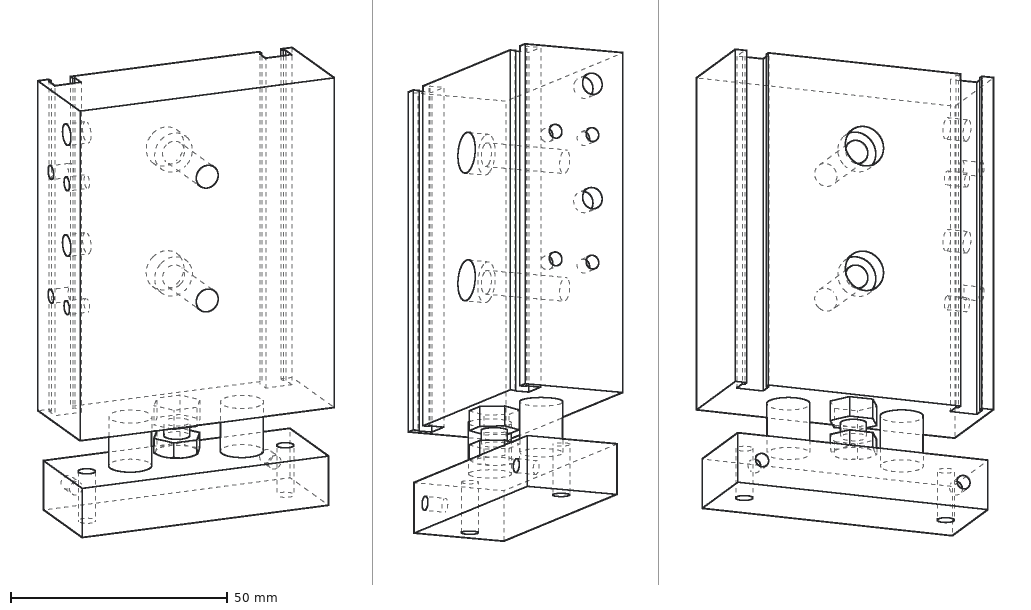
import cadquery as cq
import math

housing_depth = 25.0
housing_width = 64.0
total_height = 104.0

plate_depth = 22.9
plate_width = 62.0
plate_height = 12.0
gap_height = 12.0
plate_center_x = housing_depth / 2
housing_bottom = plate_height + gap_height
housing_height = total_height - housing_bottom

slot_edge_distance = 5.5
slot_mouth_width = 5.3
slot_cavity_width = 6.5
slot_lip = 1.5
slot_depth = 5.0
slot_y = housing_width / 2 - slot_edge_distance

upper_mount_z = total_height - 20.0
lower_mount_z = total_height - 50.0
mount_diameter = 5.5
counterbore_diameter = 9.5
counterbore_depth = 5.0

port_diameter = 5.0
port_x = 17.2
port_heights = (total_height - 8.0, total_height - 34.9)
tapped_diameter = 3.2
tapped_x_positions = (7.8, port_x)
blind_depth = 5.0

rod_diameter = 10.0
rod_y = 14.0
plate_hole_y = 25.0
plate_hole_diameter = 4.0

bolt_x = 7.1
hex_across_flats = 10.0
hex_across_corners = hex_across_flats / math.cos(math.pi / 6)
head_height = 4.7
nut_height = 4.0
shank_diameter = 6.0
nut_chamfer_angle = math.radians(30)


def slot_cutter(center_y):
    """T-slot with a narrow mouth at X = 0 and a wider cavity behind the lip."""
    mouth = cq.Workplane("XY").box(
        slot_depth, slot_mouth_width, housing_height, centered=(False, True, False)
    )
    cavity = cq.Workplane("XY").box(
        slot_depth - slot_lip, slot_cavity_width, housing_height, centered=(False, True, False)
    ).translate((slot_lip, 0, 0))
    return mouth.union(cavity).translate((0, center_y, housing_bottom))


def x_cylinder(diameter, length, start_x, y, z):
    """Cylinder running in +X from the given point."""
    return cq.Workplane(cq.Solid.makeCylinder(
        diameter / 2, length, cq.Vector(start_x, y, z), cq.Vector(1, 0, 0)
    ))


def side_hole(diameter, x, z):
    """Blind hole drilled into the -Y side of the housing."""
    return cq.Workplane(cq.Solid.makeCylinder(
        diameter / 2, blind_depth, cq.Vector(x, -housing_width / 2, z), cq.Vector(0, 1, 0)
    ))


def make_housing():
    body = cq.Workplane("XY").box(
        housing_depth, housing_width, housing_height, centered=(False, True, False)
    ).translate((0, 0, housing_bottom))
    for center_y in (-slot_y, slot_y):
        body = body.cut(slot_cutter(center_y))
    for z in (lower_mount_z, upper_mount_z):
        body = body.cut(x_cylinder(mount_diameter, housing_depth, 0, 0, z))
        body = body.cut(x_cylinder(counterbore_diameter, counterbore_depth, 0, 0, z))
        for x in tapped_x_positions:
            body = body.cut(side_hole(tapped_diameter, x, z))
    for z in port_heights:
        body = body.cut(side_hole(port_diameter, port_x, z))
    return body


def make_carrier():
    """Plate with its two guide rods reaching up to the housing."""
    plate = cq.Workplane("XY").box(
        plate_depth, plate_width, plate_height, centered=(True, True, False)
    ).translate((plate_center_x, 0, 0))
    front_x = plate_center_x - plate_depth / 2
    for y in (-plate_hole_y, plate_hole_y):
        vertical_hole = cq.Workplane("XY").center(plate_center_x, y).circle(
            plate_hole_diameter / 2
        ).extrude(plate_height)
        plate = plate.cut(vertical_hole)
        plate = plate.cut(x_cylinder(tapped_diameter, blind_depth, front_x, y, plate_height / 2))
    rods = cq.Workplane("XY", origin=(plate_center_x, 0, plate_height)).pushPoints(
        [(0, -rod_y), (0, rod_y)]
    ).circle(rod_diameter / 2).extrude(gap_height)
    return plate.union(rods)


def hexagon(bottom_z, height):
    """Hexagonal prism on the bolt axis, with two corners pointing along Y."""
    return cq.Workplane("XY").polygon(6, hex_across_corners).extrude(height).rotate(
        (0, 0, 0), (0, 0, 1), 90
    ).translate((bolt_x, 0, bottom_z))


def make_stop_bolt():
    shank = cq.Workplane("XY", origin=(bolt_x, 0, plate_height)).circle(
        shank_diameter / 2
    ).extrude(gap_height)
    head = hexagon(housing_bottom - head_height, head_height)
    cone_top_radius = hex_across_flats / 2 + nut_height / math.tan(nut_chamfer_angle)
    chamfer_cone = cq.Workplane(cq.Solid.makeCone(
        hex_across_flats / 2, cone_top_radius, nut_height, cq.Vector(bolt_x, 0, plate_height)
    ))
    nut = hexagon(plate_height, nut_height).intersect(chamfer_cone)
    return shank.union(head).union(nut)


housing = make_housing()
carrier = make_carrier()
stop_bolt = make_stop_bolt()

result = cq.Compound.makeCompound([housing.val(), carrier.val(), stop_bolt.val()])